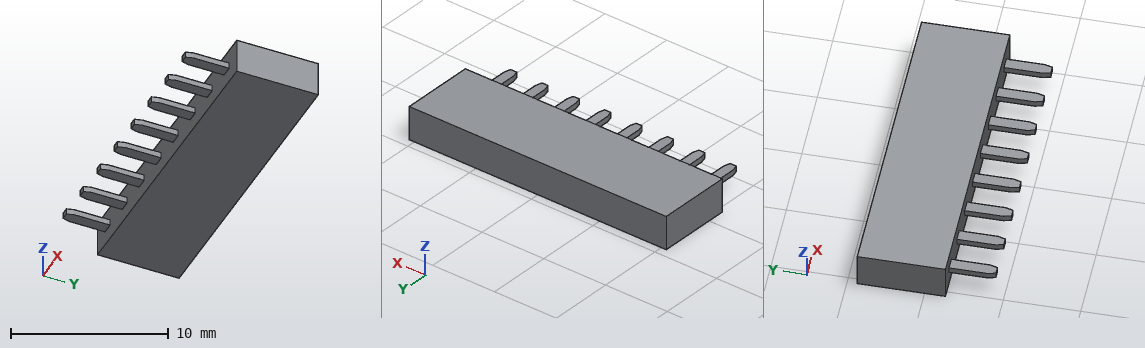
import cadquery as cq

housing_length = 20.82
housing_depth = 5.7
housing_height = 2.5

pin_count = 8
pin_pitch = 2.55
pin_length = 3.0
pin_width = 0.77
pin_thickness = 0.42
tip_length = 0.5
tip_width = 0.5

overall_depth = housing_depth + pin_length
housing_front = overall_depth / 2 - housing_depth


def make_housing():
    """Plain rectangular block behind the pins."""
    return (
        cq.Workplane("XY")
        .box(housing_length, housing_depth, housing_height)
        .translate((0, housing_front + housing_depth / 2, 0))
    )


def make_pin(x_center):
    """Flat pin pointing to -Y, its sides tapering towards the tip."""
    tip_y = housing_front - pin_length
    shoulder_y = tip_y + tip_length
    return (
        cq.Workplane("XY")
        .polyline([
            (-pin_width / 2, housing_front),
            (-pin_width / 2, shoulder_y),
            (-tip_width / 2, tip_y),
            (tip_width / 2, tip_y),
            (pin_width / 2, shoulder_y),
            (pin_width / 2, housing_front),
        ])
        .close()
        .extrude(pin_thickness / 2, both=True)
        .translate((x_center, 0, 0))
    )


result = make_housing()
for index in range(pin_count):
    pin_x = (index - (pin_count - 1) / 2) * pin_pitch
    result = result.union(make_pin(pin_x))